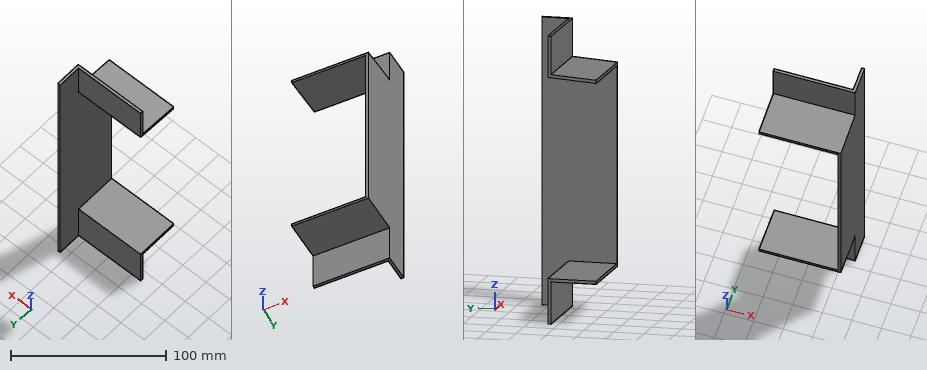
import cadquery as cq

width = 55.5
depth = 50.0
height = 190.0
sheet = 2.0

shelf_depth = 30.0
lower_leg = 28.0
upper_leg = 25.3
upper_drop = 2.0

leg_front = shelf_depth
leg_back = leg_front + sheet
upper_bend = height - upper_leg
upper_front = upper_bend - upper_drop
upper_inner_bend = upper_bend - sheet + upper_drop * sheet / shelf_depth


def extrude_along_x(points, start, length):
    """Extrude a (Y, Z) outline along +X from the given X position."""
    return cq.Workplane("YZ", origin=(start, 0, 0)).polyline(points).close().extrude(length)


side_plate = extrude_along_x(
    [
        (depth, 0),
        (depth, height),
        (leg_front, height),
        (leg_front, upper_bend),
        (0, upper_front),
        (0, lower_leg),
        (leg_front, lower_leg),
        (leg_front, 0),
    ],
    width - sheet,
    sheet,
)

upper_flange = extrude_along_x(
    [
        (leg_back, height),
        (leg_front, height),
        (leg_front, upper_bend),
        (0, upper_front),
        (0, upper_front - sheet),
        (leg_back, upper_inner_bend),
    ],
    0,
    width,
)

lower_flange = extrude_along_x(
    [
        (leg_back, 0),
        (leg_front, 0),
        (leg_front, lower_leg),
        (0, lower_leg),
        (0, lower_leg + sheet),
        (leg_back, lower_leg + sheet),
    ],
    0,
    width,
)

result = side_plate.union(upper_flange).union(lower_flange)